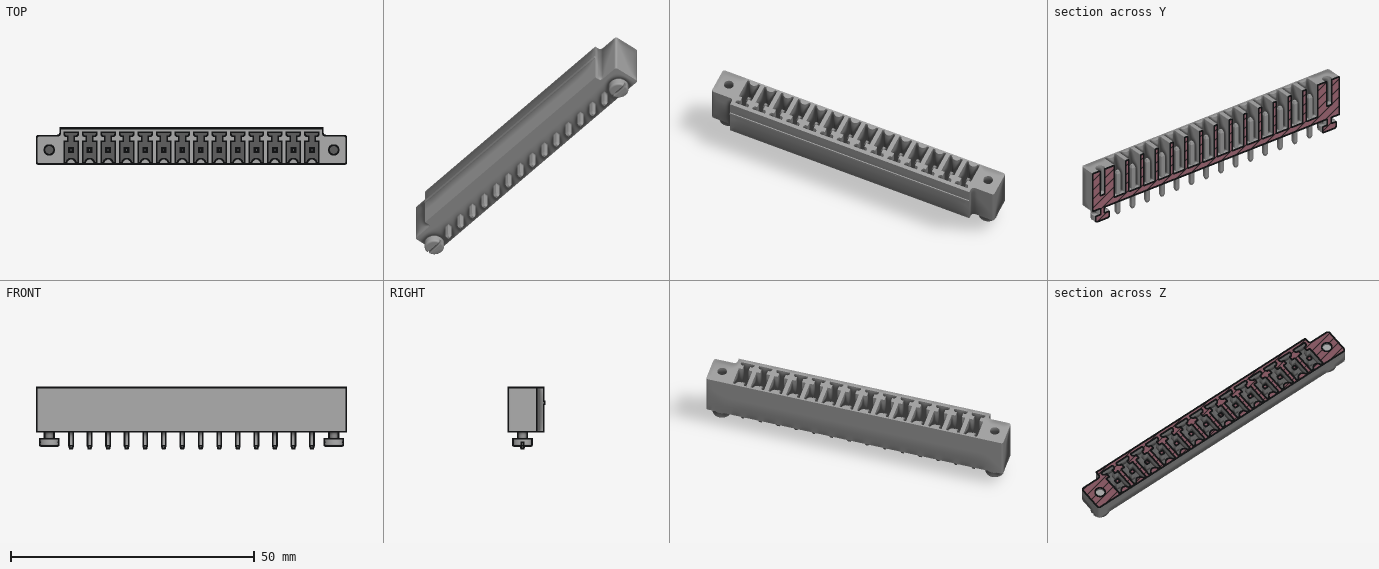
import cadquery as cq

CONTACT_COUNT = 14
PITCH = 3.81
ROW_LENGTH = (CONTACT_COUNT - 1) * PITCH
CONTACT_XS = [i * PITCH - ROW_LENGTH / 2 for i in range(CONTACT_COUNT)]

HOUSING_HEIGHT = 9.2
BODY_DEPTH = 7.35
BODY_END_MARGIN = 2.25
BODY_LENGTH = ROW_LENGTH + 2 * BODY_END_MARGIN
FLANGE_DEPTH = 5.9
FLANGE_LENGTH = 63.73
FLANGE_EDGE_RADIUS = 0.45
STEP_RADIUS = 0.6
ROW_Y = FLANGE_DEPTH / 2

RIDGE_PROTRUSION = 0.2
RIDGE_HEIGHT = 0.6
RIDGE_CENTER_Z = HOUSING_HEIGHT - 3.2

FLOOR_THICKNESS = 1.5
POCKET_WIDTH = 2.9
POCKET_FRONT_Y = 0.35
SHOULDER_Y = 4.75
NECK_WIDTH = 1.35
NECK_END_Y = 5.75
DOVETAIL_FRONT_WIDTH = 2.3
DOVETAIL_TAPER_END_Y = 6.1
POCKET_BACK_Y = 6.55
RIB_RADIUS = 0.95
RIB_CENTER_Y = 0.2

PIN_WIDTH = 0.9
PIN_TAIL_LENGTH = 3.4
PIN_TOP_Z = 7.0
PIN_TIP_LENGTH = 0.6
PIN_TIP_INSET = 0.2

SCREW_SPACING = 4.5
SCREW_X = ROW_LENGTH / 2 + SCREW_SPACING
THREAD_DIAMETER = 2.0
THREAD_HOLE_DEPTH = 6.0
SHANK_LENGTH = 1.35
HEAD_DIAMETER = 4.0
HEAD_HEIGHT = 1.55
HEAD_EDGE_RADIUS = 0.4
SLOT_WIDTH = 0.6
SLOT_DEPTH = 0.8


def block(x_size, y_min, y_max, z_min, z_max):
    """Box centred on X = 0."""
    return (
        cq.Workplane("XY")
        .box(x_size, y_max - y_min, z_max - z_min, centered=(True, False, False))
        .translate((0, y_min, z_min))
    )


def housing():
    flanges = block(FLANGE_LENGTH, 0, FLANGE_DEPTH, 0, HOUSING_HEIGHT)
    flanges = flanges.edges("|Z").fillet(FLANGE_EDGE_RADIUS)
    body = flanges.union(block(BODY_LENGTH, 0, BODY_DEPTH, 0, HOUSING_HEIGHT))

    for side in (-1, 1):
        corner = (side * BODY_LENGTH / 2, FLANGE_DEPTH, HOUSING_HEIGHT / 2)
        inner_edge = cq.selectors.NearestToPointSelector(corner)
        body = body.edges("|Z").edges(inner_edge).fillet(STEP_RADIUS)

    ridge = block(
        BODY_LENGTH,
        BODY_DEPTH,
        BODY_DEPTH + RIDGE_PROTRUSION,
        RIDGE_CENTER_Z - RIDGE_HEIGHT / 2,
        RIDGE_CENTER_Z + RIDGE_HEIGHT / 2,
    )
    return body.union(ridge)


def pocket():
    """Pocket volume at X = 0: wide chamber, narrow neck and dovetail behind it."""
    half_outline = [
        (POCKET_WIDTH / 2, POCKET_FRONT_Y),
        (POCKET_WIDTH / 2, SHOULDER_Y),
        (NECK_WIDTH / 2, SHOULDER_Y),
        (NECK_WIDTH / 2, NECK_END_Y),
        (DOVETAIL_FRONT_WIDTH / 2, NECK_END_Y),
        (POCKET_WIDTH / 2, DOVETAIL_TAPER_END_Y),
        (POCKET_WIDTH / 2, POCKET_BACK_Y),
    ]
    mirrored = [(-x, y) for x, y in reversed(half_outline)]
    depth = HOUSING_HEIGHT - FLOOR_THICKNESS
    floor = cq.Workplane("XY", origin=(0, 0, FLOOR_THICKNESS))
    chamber = floor.polyline(half_outline + mirrored).close().extrude(depth)
    rib = floor.center(0, RIB_CENTER_Y).circle(RIB_RADIUS).extrude(depth)
    return chamber.cut(rib)


def pin():
    """Contact pin at X = 0 with a tapered tip at both ends."""
    tip_width = PIN_WIDTH - 2 * PIN_TIP_INSET
    shaft_bottom = PIN_TIP_LENGTH - PIN_TAIL_LENGTH
    shaft_top = PIN_TOP_Z - PIN_TIP_LENGTH
    half = PIN_WIDTH / 2
    shaft = block(PIN_WIDTH, ROW_Y - half, ROW_Y + half, shaft_bottom, shaft_top)

    def tip(base_z, end_z):
        return (
            cq.Workplane("XY", origin=(0, ROW_Y, base_z))
            .rect(PIN_WIDTH, PIN_WIDTH)
            .workplane(offset=end_z - base_z)
            .rect(tip_width, tip_width)
            .loft(ruled=True)
        )

    return shaft.union(tip(shaft_bottom, -PIN_TAIL_LENGTH)).union(tip(shaft_top, PIN_TOP_Z))


def screw():
    """Shank and slotted head below the flange, axis at X = 0."""
    head_bottom = -SHANK_LENGTH - HEAD_HEIGHT
    head = cq.Workplane("XY", origin=(0, 0, head_bottom)).circle(HEAD_DIAMETER / 2).extrude(HEAD_HEIGHT)
    head = head.faces("<Z").edges().fillet(HEAD_EDGE_RADIUS)
    shank = (
        cq.Workplane("XY", origin=(0, 0, -SHANK_LENGTH))
        .circle(THREAD_DIAMETER / 2)
        .extrude(SHANK_LENGTH)
    )
    half = SLOT_WIDTH / 2
    slot = block(HEAD_DIAMETER, -half, half, head_bottom, head_bottom + SLOT_DEPTH)
    return head.cut(slot).union(shank).translate((0, ROW_Y, 0))


def thread_hole():
    bottom_z = HOUSING_HEIGHT - THREAD_HOLE_DEPTH
    return (
        cq.Workplane("XY", origin=(0, ROW_Y, bottom_z))
        .circle(THREAD_DIAMETER / 2)
        .extrude(THREAD_HOLE_DEPTH)
    )


result = housing()
for contact_x in CONTACT_XS:
    result = result.cut(pocket().translate((contact_x, 0, 0)))
    result = result.union(pin().translate((contact_x, 0, 0)))
for screw_x in (-SCREW_X, SCREW_X):
    result = result.cut(thread_hole().translate((screw_x, 0, 0)))
    result = result.union(screw().translate((screw_x, 0, 0)))